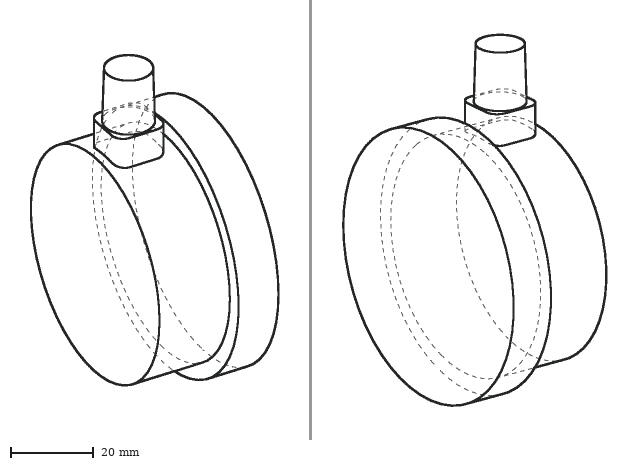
import cadquery as cq

total_height = 87.1
bezel_diameter = 68.8
bezel_thickness = 11.2
body_diameter = 60.55
total_depth = 31.0

stem_setback = 9.4
block_width = 13.9
block_corner_radius = 3.1
taper_height = 15.0
taper_base_diameter = 12.8
taper_tip_diameter = 11.9

bezel_radius = bezel_diameter / 2
stem_top = total_height - bezel_radius
block_top = stem_top - taper_height
block_bottom = body_diameter / 4


def make_case():
    """Bezel and body discs, with the body's front face at Y = 0."""
    body = cq.Workplane("XZ").circle(body_diameter / 2).extrude(-total_depth)
    bezel = (
        cq.Workplane("XZ", origin=(0, total_depth, 0))
        .circle(bezel_radius)
        .extrude(bezel_thickness)
    )
    return body.union(bezel)


def make_block():
    """Wrench block rising out of the body."""
    return (
        cq.Workplane("XY", origin=(0, stem_setback, block_bottom))
        .rect(block_width, block_width)
        .extrude(block_top - block_bottom)
        .edges("|Z")
        .fillet(block_corner_radius)
    )


def make_taper():
    """Conical connection narrowing towards its tip."""
    return (
        cq.Workplane("XY", origin=(0, stem_setback, block_top))
        .circle(taper_base_diameter / 2)
        .workplane(offset=taper_height)
        .circle(taper_tip_diameter / 2)
        .loft(ruled=True)
    )


result = make_case().union(make_block()).union(make_taper())